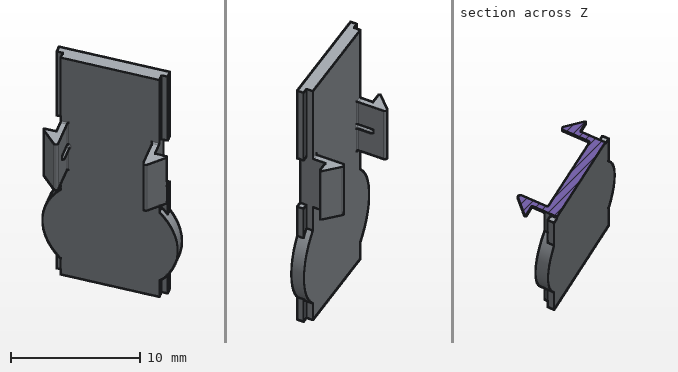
import cadquery as cq
import math

plate_height = 23.7
plate_thickness = 1.11
core_half_width = 4.0
flange_width = 0.5
flange_thickness = 0.56
disc_radius = 5.5

clip_bottom = 11.7
clip_length = 5.0
clip_thickness = 0.55
clip_reach = 3.61
hook_ledge_depth = 2.2
hook_tip_radius = 0.1
hook_nose_radius = 0.2
root_radius = 0.1

rib_radius = 0.2
rib_end_depth = 2.55
rib_end_radius = 0.15
rib_root_radius = 0.1

clip_top = clip_bottom + clip_length
clip_middle = (clip_bottom + clip_top) / 2
clip_inner_x = core_half_width - clip_thickness
selection_margin = 0.01


def box_between(x_range, y_range, z_range):
    """Box spanning the given (low, high) ranges."""
    sizes = [high - low for low, high in (x_range, y_range, z_range)]
    corner = (x_range[0], y_range[0], z_range[0])
    return cq.Workplane("XY").box(*sizes, centered=False).translate(corner)


def make_plate():
    """Core slab with thin side flanges and a round bulge at the lower end."""
    flange_half_width = core_half_width + flange_width
    core = box_between(
        (-core_half_width, core_half_width), (-plate_thickness, 0), (0, plate_height)
    )
    flanges = box_between(
        (-flange_half_width, flange_half_width), (-flange_thickness, 0), (0, plate_height)
    )
    for inner_x in (-flange_half_width, core_half_width):
        gap = box_between(
            (inner_x, inner_x + flange_width),
            (-flange_thickness, 0),
            (clip_bottom, clip_top),
        )
        flanges = flanges.cut(gap)
    disc = (
        cq.Workplane("XZ")
        .center(0, disc_radius)
        .circle(disc_radius)
        .extrude(plate_thickness)
    )
    return core.union(flanges).union(disc)


def make_clip():
    """Hooked clip on the +X side, flush with the side of the core."""
    ramp_sum = clip_inner_x + clip_reach + hook_nose_radius * math.sqrt(2)
    tip_x = ramp_sum - hook_ledge_depth
    nose_depth = ramp_sum - clip_inner_x
    profile = [
        (clip_inner_x, -flange_thickness),
        (core_half_width, -flange_thickness),
        (core_half_width, -hook_ledge_depth),
        (tip_x, -hook_ledge_depth),
        (clip_inner_x, -nose_depth),
    ]
    clip = (
        cq.Workplane("XY", origin=(0, 0, clip_bottom))
        .polyline(profile)
        .close()
        .extrude(clip_length)
    )
    clip = clip.edges(">X").fillet(hook_tip_radius)
    nose_edge = cq.selectors.NearestToPointSelector((clip_inner_x, -nose_depth, clip_middle))
    return clip.edges(nose_edge).fillet(hook_nose_radius)


def make_rib():
    """Round rib centred on the inner face of the +X clip: flared root, rounded end."""
    diagonal = math.sqrt(0.5)
    root_mid = (
        rib_radius + rib_root_radius * (1 - diagonal),
        plate_thickness + rib_root_radius * (1 - diagonal),
    )
    end_mid = (
        rib_radius - rib_end_radius * (1 - diagonal),
        rib_end_depth - rib_end_radius * (1 - diagonal),
    )
    flare_radius = rib_radius + rib_root_radius
    section = (
        cq.Workplane("XY")
        .moveTo(0, flange_thickness)
        .lineTo(flare_radius, flange_thickness)
        .lineTo(flare_radius, plate_thickness)
        .threePointArc(root_mid, (rib_radius, plate_thickness + rib_root_radius))
        .lineTo(rib_radius, rib_end_depth - rib_end_radius)
        .threePointArc(end_mid, (rib_radius - rib_end_radius, rib_end_depth))
        .lineTo(0, rib_end_depth)
        .close()
    )
    rib = section.revolve(360, (0, 0, 0), (0, 1, 0)).mirror("XZ")
    rib = rib.translate((clip_inner_x, 0, clip_middle))
    clip_side = box_between(
        (clip_inner_x - flare_radius, core_half_width),
        (-rib_end_depth, 0),
        (clip_bottom, clip_top),
    )
    return rib.intersect(clip_side)


def blend_clip_root(body, side):
    """Fillet where the inner and end faces of one clip meet the plate."""
    x_limits = sorted(
        side * x for x in (clip_inner_x - selection_margin, core_half_width - selection_margin)
    )
    roots = cq.selectors.BoxSelector(
        (x_limits[0], -plate_thickness - selection_margin, clip_bottom - selection_margin),
        (x_limits[1], -plate_thickness + selection_margin, clip_top + selection_margin),
    )
    return body.edges(roots).fillet(root_radius)


result = make_plate()
for side in (-1, 1):
    clip = make_clip()
    rib = make_rib()
    if side < 0:
        clip = clip.mirror("YZ")
        rib = rib.mirror("YZ")
    result = blend_clip_root(result.union(clip), side).union(rib)